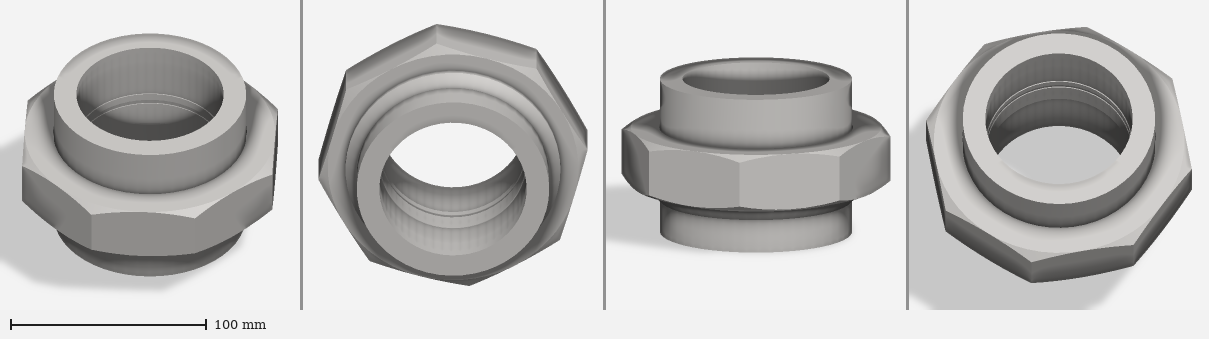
import cadquery as cq
import math

TOTAL_HEIGHT = 80.0
CONE_BOTTOM_Z = 17.0
NUT_BOTTOM_Z = 25.5
NUT_HEIGHT = 29.0
LOWER_SOCKET_DEPTH = 31.0
UPPER_SOCKET_DEPTH = 30.1
GASKET_BOTTOM_Z = 43.6
GASKET_THICKNESS = 2.4

NUT_TOP_Z = NUT_BOTTOM_Z + NUT_HEIGHT
UPPER_SOCKET_FLOOR_Z = TOTAL_HEIGHT - UPPER_SOCKET_DEPTH
FLANGE_BOTTOM_Z = GASKET_BOTTOM_Z + GASKET_THICKNESS
FLANGE_TOP_Z = UPPER_SOCKET_FLOOR_Z

PIPE_RADIUS = 49.2
SOCKET_RADIUS = 37.6
BORE_RADIUS = 37.1
COLLAR_RADIUS = 54.9
NUT_CLEARANCE = 0.4

NUT_SIDES = 8
NUT_ACROSS_FLATS = 128.0
NUT_CHAMFER_ANGLE = 30.0


def revolve_profile(points):
    """Turn a closed (radius, height) outline about the Z axis."""
    return cq.Workplane("XZ").polyline(points).close().revolve(360, (0, 0, 0), (0, 1, 0))


def ring(outer_radius, inner_radius, bottom_z, top_z):
    return (
        cq.Workplane("XY", origin=(0, 0, bottom_z))
        .circle(outer_radius)
        .circle(inner_radius)
        .extrude(top_z - bottom_z)
    )


def make_lower_end():
    """Pipe socket whose 45 degree cone widens to the collar that enters the nut."""
    cone_top_z = CONE_BOTTOM_Z + COLLAR_RADIUS - PIPE_RADIUS
    return revolve_profile([
        (SOCKET_RADIUS, 0),
        (PIPE_RADIUS, 0),
        (PIPE_RADIUS, CONE_BOTTOM_Z),
        (COLLAR_RADIUS, cone_top_z),
        (COLLAR_RADIUS, GASKET_BOTTOM_Z),
        (BORE_RADIUS, GASKET_BOTTOM_Z),
        (BORE_RADIUS, LOWER_SOCKET_DEPTH),
        (SOCKET_RADIUS, LOWER_SOCKET_DEPTH),
    ])


def make_gasket():
    """Flat ring clamped between the two ends."""
    return ring(COLLAR_RADIUS, SOCKET_RADIUS, GASKET_BOTTOM_Z, FLANGE_BOTTOM_Z)


def make_upper_end():
    """Pipe socket with a flange held under the shoulder of the nut."""
    return revolve_profile([
        (BORE_RADIUS, FLANGE_BOTTOM_Z),
        (COLLAR_RADIUS, FLANGE_BOTTOM_Z),
        (COLLAR_RADIUS, FLANGE_TOP_Z),
        (PIPE_RADIUS, FLANGE_TOP_Z),
        (PIPE_RADIUS, TOTAL_HEIGHT),
        (SOCKET_RADIUS, TOTAL_HEIGHT),
        (SOCKET_RADIUS, UPPER_SOCKET_FLOOR_Z),
        (BORE_RADIUS, UPPER_SOCKET_FLOOR_Z),
    ])


def make_nut_blank():
    """Octagonal prism with conical chamfers starting at the flats on both ends."""
    flat_radius = NUT_ACROSS_FLATS / 2
    half_side_angle = math.pi / NUT_SIDES
    corner_radius = flat_radius / math.cos(half_side_angle)
    chamfer_height = (corner_radius - flat_radius) * math.tan(math.radians(NUT_CHAMFER_ANGLE))
    prism = (
        cq.Workplane("XY", origin=(0, 0, NUT_BOTTOM_Z))
        .polygon(NUT_SIDES, 2 * corner_radius)
        .extrude(NUT_HEIGHT)
        .rotate((0, 0, 0), (0, 0, 1), math.degrees(half_side_angle))
    )
    chamfer_envelope = revolve_profile([
        (0, NUT_BOTTOM_Z),
        (flat_radius, NUT_BOTTOM_Z),
        (corner_radius, NUT_BOTTOM_Z + chamfer_height),
        (corner_radius, NUT_TOP_Z - chamfer_height),
        (flat_radius, NUT_TOP_Z),
        (0, NUT_TOP_Z),
    ])
    return prism.intersect(chamfer_envelope)


def make_nut():
    """Nut with a wide bore for the collar and a shoulder around the upper pipe."""
    cavity = revolve_profile([
        (0, NUT_BOTTOM_Z),
        (COLLAR_RADIUS, NUT_BOTTOM_Z),
        (COLLAR_RADIUS, FLANGE_TOP_Z),
        (PIPE_RADIUS + NUT_CLEARANCE, FLANGE_TOP_Z),
        (PIPE_RADIUS + NUT_CLEARANCE, NUT_TOP_Z),
        (0, NUT_TOP_Z),
    ])
    return make_nut_blank().cut(cavity)


lower_end = make_lower_end()
gasket = make_gasket()
upper_end = make_upper_end()
nut = make_nut()

result = cq.Compound.makeCompound([lower_end.val(), gasket.val(), upper_end.val(), nut.val()])